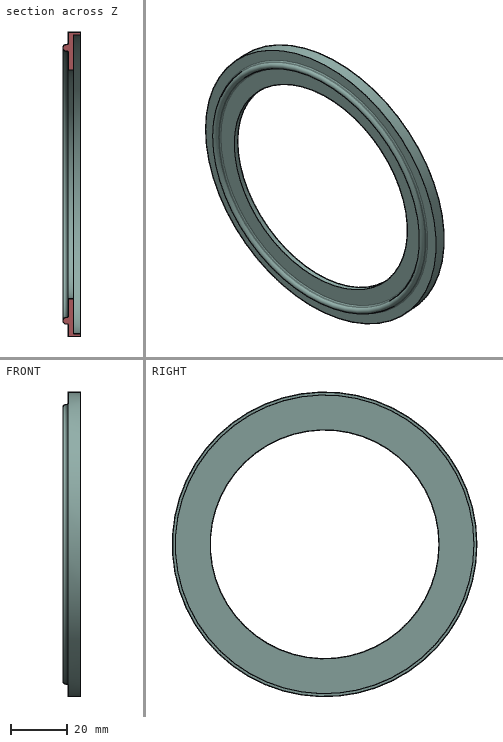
import cadquery as cq

outer_diameter = 108.2
bore_diameter = 81.2
total_thickness = 6.4
ring_thickness = 4.4

recess_diameter = 106.0
web_thickness = 2.0

bead_outer_diameter = 99.4
bead_inner_diameter = 94.6
root_fillet = 0.4

bead_outer_radius = bead_outer_diameter / 2
bead_inner_radius = bead_inner_diameter / 2
bead_middle_radius = (bead_outer_radius + bead_inner_radius) / 2
crown_radius = (bead_outer_radius - bead_inner_radius) / 2

bead_crest_x = ring_thickness - total_thickness
crown_start_x = bead_crest_x + crown_radius


def make_ring():
    ring = (
        cq.Workplane("YZ")
        .circle(outer_diameter / 2)
        .circle(bore_diameter / 2)
        .extrude(ring_thickness)
    )
    recess = (
        cq.Workplane("YZ", origin=(web_thickness, 0, 0))
        .circle(recess_diameter / 2)
        .extrude(ring_thickness - web_thickness)
    )
    return ring.cut(recess)


def make_bead():
    """Revolve a half-round crown on short straight sides with concave root fillets."""
    overlap = web_thickness / 2
    inner_root = bead_inner_radius - root_fillet
    outer_root = bead_outer_radius + root_fillet
    section = (
        cq.Workplane("XY")
        .moveTo(overlap, inner_root)
        .lineTo(0, inner_root)
        .radiusArc((-root_fillet, bead_inner_radius), -root_fillet)
        .lineTo(crown_start_x, bead_inner_radius)
        .threePointArc((bead_crest_x, bead_middle_radius), (crown_start_x, bead_outer_radius))
        .lineTo(-root_fillet, bead_outer_radius)
        .radiusArc((0, outer_root), -root_fillet)
        .lineTo(overlap, outer_root)
        .close()
    )
    return section.revolve(360, (0, 0, 0), (1, 0, 0))


result = make_ring().union(make_bead())